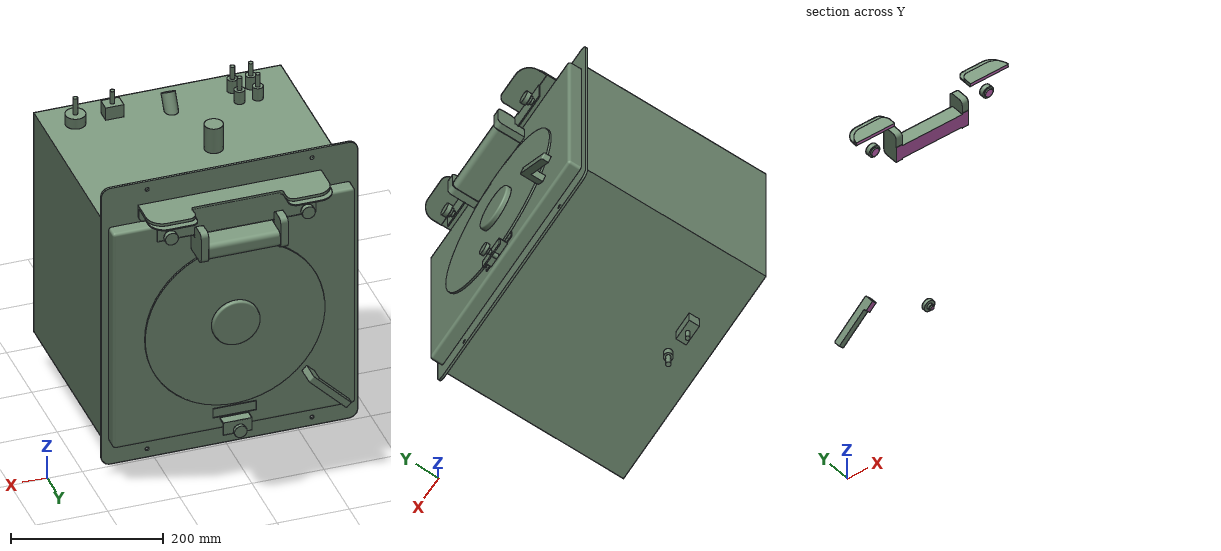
import cadquery as cq
import math


box_side = 342.9
box_depth = 282.58
flange_width = 355.6
flange_thickness = 3.175
flange_above_box = 57.15
flange_below_box = 31.75
flange_height = flange_below_box + box_side + flange_above_box
flange_corner_radius = 12.7
mount_hole_diameter = 5.5
mount_hole_x = 114.3
mount_hole_inset = 12.7

pin_diameter = 6.35
fitting_body_height = 19.05
fitting_reach = 38.1
tube_diameter = 14.3
tube_columns = (-116.8, -91.4)
tube_rows = (-221.4, -249.4)
stack_diameter = 25.4
stack_x, stack_y = -22.75, -127.5
spout_diameter = 19.05
spout_tilt = 30
spout_base_y = -230.6
spout_length = 24.8
spout_root = 12
square_x, square_y = 76.1, -246.7
square_width, square_depth = 25.4, 19.05
round_x, round_y = 128.6, -243.2
round_diameter = 27.5
round_height = 15.5
round_reach = 40.4
under_y = -237.5
block_x = -57.3
block_width, block_depth, block_height = 31.75, 15.9, 24.6
block_reach = flange_below_box + 11.43
drain_x = -10.5
drain_diameter, drain_height = 12.7, 14
drain_pin_diameter = 7

hood_width = 254
hood_top = 365.5
hood_thickness = 4
hood_reach = 53.4
hood_leg_bottom = 341.3
hood_leg_radius = 7
lip_thickness = 1.6
lip_reach = 62.175
hood_outer_radius = 22
hood_inner_radius = 10
notch_width = 126.4
notch_corner_radius = 3
flap_front = 28.9
flap_width = 220
flap_bottom = 322
hood_screw_x = 95
hood_screw_z = 331.8
hood_screw_head_front, hood_screw_head_back, hood_screw_collar_back = 42.9, 35.9, 32.4
hood_screw_diameters = (18, 13, 9)

door_side = 335.3
door_thickness = 19.05
door_edge_radius = 4
disc_radius = 124.7
disc_z = 166
disc_face = 21.9
knob_radius = 33
knob_z = 169.8
knob_face = 28.9
knob_edge_radius = 2.5
label_width, label_height, label_thickness = 60, 14, 1.4
label_z = 30.6

handle_front = 60
handle_top, handle_bottom = 341, 295.3
handle_ledge = 321.5
handle_back = 33.7
handle_radius = 7
arm_outer_x = 60.4
arm_width = 10.5
grip_inset = 1.75

lever_tip_x, lever_tip_z = -152.8, 24.5
lever_angle = 45
lever_rise = 52.5
post_rise = 11
lever_width = 9.5
lever_front, lever_back = 47.6, 37.2
lever_corner_radius = 2

clamp_width = 40
clamp_top, clamp_bottom = 21, 1.75
clamp_thickness = 1.75
clamp_reach = 32.4
clamp_screw_z = 10.5
clamp_head_front, clamp_head_back, clamp_collar_back = 44.6, 39.4, 35.9
clamp_screw_diameters = (17.5, 9, 6.5)
clamp_shaft_diameter = 7
clamp_shaft_end = 21.9


def cylinder_z(x, y, z_start, z_end, diameter):
    plane = cq.Plane(origin=(x, y, z_start), xDir=(1, 0, 0), normal=(0, 0, 1))
    return cq.Workplane(plane).circle(diameter / 2).extrude(z_end - z_start)


def cylinder_y(x, z, y_start, y_end, diameter):
    plane = cq.Plane(origin=(x, y_start, z), xDir=(1, 0, 0), normal=(0, 1, 0))
    return cq.Workplane(plane).circle(diameter / 2).extrude(y_end - y_start)


def block(x_range, y_range, z_range):
    size = [end - start for start, end in (x_range, y_range, z_range)]
    corner = (x_range[0], y_range[0], z_range[0])
    return cq.Workplane("XY").box(*size, centered=False).translate(corner)


def centred_block(x, y, width, depth, z_range):
    return block((x - width / 2, x + width / 2), (y - depth / 2, y + depth / 2), z_range)


def make_thumb_screw(x, z, head_front, head_back, collar_back, neck_back, diameters):
    """Head, collar and neck in line along Y."""
    head_diameter, collar_diameter, neck_diameter = diameters
    head = cylinder_y(x, z, head_back, head_front, head_diameter)
    collar = cylinder_y(x, z, collar_back, head_back, collar_diameter)
    neck = cylinder_y(x, z, neck_back, collar_back, neck_diameter)
    return head.union(collar).union(neck)


def make_flange():
    flange = block(
        (-flange_width / 2, flange_width / 2),
        (-flange_thickness, 0),
        (-flange_below_box, flange_height - flange_below_box),
    )
    flange = flange.edges("|Y").fillet(flange_corner_radius)
    hole_rows = (
        mount_hole_inset - flange_below_box,
        box_side + flange_above_box - mount_hole_inset,
    )
    for x in (-mount_hole_x, mount_hole_x):
        for z in hole_rows:
            flange = flange.cut(cylinder_y(x, z, -flange_thickness, 0, mount_hole_diameter))
    return flange


def make_top_fittings():
    body_top = box_side + fitting_body_height
    pin_top = box_side + fitting_reach
    fittings = []
    for x in tube_columns:
        for y in tube_rows:
            fittings.append(cylinder_z(x, y, box_side, body_top, tube_diameter))
            fittings.append(cylinder_z(x, y, body_top, pin_top, pin_diameter))

    fittings.append(cylinder_z(stack_x, stack_y, box_side, pin_top, stack_diameter))

    fittings.append(centred_block(square_x, square_y, square_width, square_depth, (box_side, body_top)))
    fittings.append(cylinder_z(square_x, square_y, body_top, pin_top, pin_diameter))

    round_top = box_side + round_height
    fittings.append(cylinder_z(round_x, round_y, box_side, round_top, round_diameter))
    fittings.append(cylinder_z(round_x, round_y, round_top, box_side + round_reach, pin_diameter))

    spout = cylinder_z(0, 0, -spout_root, spout_length, spout_diameter)
    spout = spout.rotate((0, 0, 0), (1, 0, 0), spout_tilt)
    fittings.append(spout.translate((0, spout_base_y, box_side)))
    return fittings


def make_bottom_fittings():
    return [
        centred_block(block_x, under_y, block_width, block_depth, (-block_height, 0)),
        cylinder_z(block_x, under_y, -block_reach, -block_height, pin_diameter),
        cylinder_z(drain_x, under_y, -drain_height, 0, drain_diameter),
        cylinder_z(drain_x, under_y, -fitting_reach, -drain_height, drain_pin_diameter),
    ]


def make_hood_sheet(reach, z_bottom, thickness):
    """Horizontal sheet with two rounded wings either side of a central notch."""
    z_range = (z_bottom, z_bottom + thickness)
    wing = block((notch_width / 2, hood_width / 2), (0, reach), z_range)
    wing = wing.edges("|Z and >X and >Y").fillet(hood_outer_radius)
    wing = wing.edges("|Z and <X and >Y").fillet(hood_inner_radius)
    bridge = block((-notch_width / 2, notch_width / 2), (0, flap_front), z_range)
    sheet = bridge.union(wing).union(wing.mirror("YZ"))
    for x in (-notch_width / 2, notch_width / 2):
        notch_corner = cq.selectors.NearestToPointSelector((x, flap_front, z_bottom + thickness / 2))
        sheet = sheet.edges("|Z").edges(notch_corner).fillet(notch_corner_radius)
    return sheet


def make_hood():
    hood_underside = hood_top - hood_thickness
    lip_underside = hood_underside - lip_thickness
    flap_back = flap_front - lip_thickness
    leg = block((-hood_width / 2, hood_width / 2), (0, hood_thickness), (hood_leg_bottom, hood_top))
    leg = leg.edges("|Y and <Z").fillet(hood_leg_radius)
    lip = make_hood_sheet(lip_reach, lip_underside, lip_thickness)
    lip = lip.cut(block((-hood_width, hood_width), (0, flap_back), (lip_underside, hood_underside)))
    flap = block((-flap_width / 2, flap_width / 2), (flap_back, flap_front), (flap_bottom, hood_underside))
    hood = make_hood_sheet(hood_reach, hood_underside, hood_thickness).union(leg).union(lip).union(flap)
    for x in (-hood_screw_x, hood_screw_x):
        screw = make_thumb_screw(
            x, hood_screw_z, hood_screw_head_front, hood_screw_head_back,
            hood_screw_collar_back, flap_front, hood_screw_diameters,
        )
        hood = hood.union(screw)
    return hood


def make_cabinet():
    cabinet = centred_block(0, -flange_thickness - box_depth / 2, box_side, box_depth, (0, box_side))
    cabinet = cabinet.union(make_flange()).union(make_hood())
    for fitting in make_top_fittings() + make_bottom_fittings():
        cabinet = cabinet.union(fitting)
    return cabinet


def make_handle():
    """Two stepped arms joined by a low grip bar."""
    arm = block((0, arm_width), (handle_back, handle_front), (handle_bottom, handle_top))
    arm = arm.edges("|X and (>Y or (<Y and >Z))").fillet(handle_radius)
    arm = arm.union(block((0, arm_width), (door_thickness, handle_back), (handle_bottom, handle_ledge)))
    grip_half = arm_outer_x - arm_width
    grip = block(
        (-grip_half, grip_half),
        (door_thickness, handle_front - grip_inset),
        (handle_bottom + grip_inset, handle_ledge - grip_inset),
    )
    grip = grip.edges("|X and >Y").fillet(handle_radius)
    return grip.union(arm.translate((-arm_outer_x, 0, 0))).union(arm.translate((grip_half, 0, 0)))


def make_lever():
    """L-shaped lever: a post out from the door and an arm sloping down toward -X."""
    slope = math.sin(math.radians(lever_angle))
    length = lever_rise / slope
    post_length = post_rise / slope
    arm = block((0, length), (lever_back, lever_front), (-lever_width, 0))
    post = block((length - post_length, length), (door_thickness, lever_back), (-lever_width, 0))
    lever = arm.union(post).edges("|Z and >Y").fillet(lever_corner_radius)
    lever = lever.rotate((0, 0, 0), (0, 1, 0), -lever_angle)
    return lever.translate((lever_tip_x, 0, lever_tip_z))


def make_clamp():
    half = clamp_width / 2
    shelf = block((-half, half), (door_thickness, clamp_reach), (clamp_top - clamp_thickness, clamp_top))
    leg = block((-half, half), (clamp_reach - clamp_thickness, clamp_reach), (clamp_bottom, clamp_top))
    screw = make_thumb_screw(
        0, clamp_screw_z, clamp_head_front, clamp_head_back,
        clamp_collar_back, clamp_reach, clamp_screw_diameters,
    )
    shaft = cylinder_y(0, clamp_screw_z, clamp_shaft_end, clamp_reach, clamp_shaft_diameter)
    return shelf.union(leg).union(screw).union(shaft)


def make_door():
    door = centred_block(
        0, door_thickness / 2, door_side, door_thickness,
        ((box_side - door_side) / 2, (box_side + door_side) / 2),
    )
    door = door.edges("|Y or >Y").fillet(door_edge_radius)
    disc = cylinder_y(0, disc_z, door_thickness, disc_face, 2 * disc_radius)
    knob = cylinder_y(0, knob_z, disc_face, knob_face, 2 * knob_radius)
    knob = knob.faces(">Y").edges().fillet(knob_edge_radius)
    label = centred_block(
        0, door_thickness + label_thickness / 2, label_width, label_thickness,
        (label_z - label_height / 2, label_z + label_height / 2),
    )
    for detail in (disc, knob, label, make_handle(), make_lever(), make_clamp()):
        door = door.union(detail)
    return door


cabinet = make_cabinet()
door = make_door()
result = cq.Compound.makeCompound([cabinet.val(), door.val()])